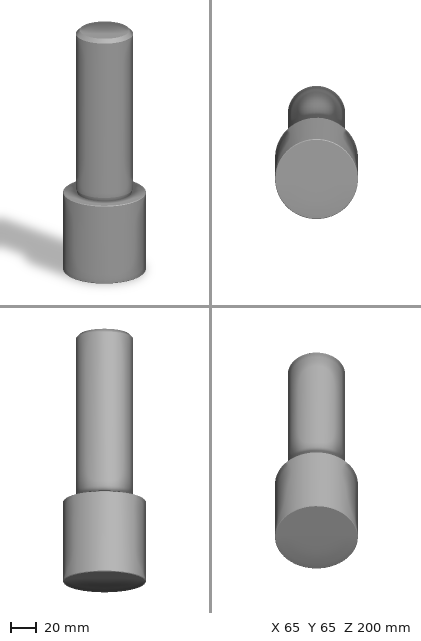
import cadquery as cq

total_length = 200.0
head_diameter = 65.0
head_height = 65.0
head_edge_chamfer = 0.5

shank_diameter = 45.0
shank_end_chamfer = 3.0
neck_diameter = 43.0
neck_height = 3.0

shank_length = total_length - head_height - neck_height


def make_head():
    """Cylindrical head standing on the XY plane, with both rims broken."""
    head = cq.Workplane("XY").circle(head_diameter / 2).extrude(head_height)
    return head.faces("<Z or >Z").edges().chamfer(head_edge_chamfer)


def make_neck():
    """Relief groove between head and shank."""
    return cq.Workplane("XY").workplane(offset=head_height).circle(neck_diameter / 2).extrude(neck_height)


def make_shank():
    """Plain shank with a chamfered free end."""
    base = cq.Workplane("XY").workplane(offset=head_height + neck_height)
    shank = base.circle(shank_diameter / 2).extrude(shank_length)
    return shank.faces(">Z").edges().chamfer(shank_end_chamfer)


result = make_head().union(make_neck()).union(make_shank())